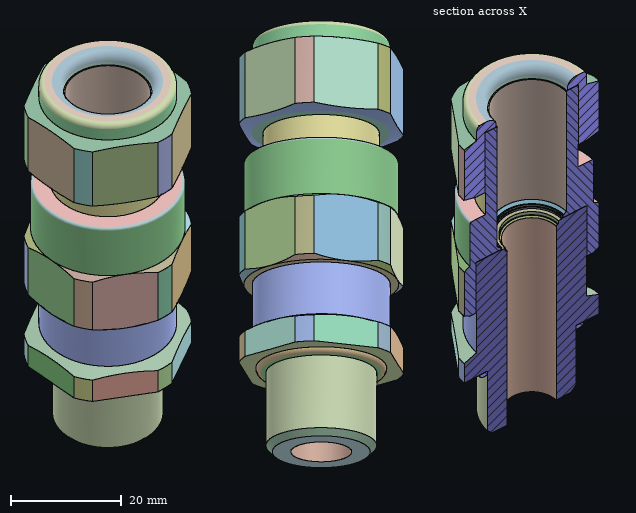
import cadquery as cq
import math


ACROSS_FLATS = 28.0
FLAT_RADIUS = ACROSS_FLATS / 2
ACROSS_CORNERS = 30.5
CORNER_RADIUS = ACROSS_CORNERS / 2
SHARP_CORNER_DIAMETER = ACROSS_FLATS / math.cos(math.pi / 6)

TOTAL_HEIGHT = 78.4
RING_BOTTOM = 15.05
ENTRY_HEX_BOTTOM = 16.0
ENTRY_HEX_TOP = 22.1
MIDDLE_HEX_BOTTOM = 32.0
MIDDLE_HEX_TOP = 44.5
MIDDLE_BARREL_TOP = 55.4
CAP_HEX_BOTTOM = 60.8
CAP_HEX_TOP = 74.95
NECK_TOP = 75.7

SLEEVE_RADIUS = 12.5
NECK_RADIUS = 10.5
THREAD_RADIUS = 10.0
RING_RADIUS = 11.8

CAP_BORE_RADIUS = 8.0
NECK_BORE_RADIUS = 7.8
SEAT_RADIUS = 7.2
SEAT_STEP_RADIUS = 7.0
SEAT_THROAT_RADIUS = 6.75
SEAT_STEP_HEIGHT = 0.4
ENTRY_BORE_RADIUS = 5.5
ENTRY_COUNTERBORE_RADIUS = 5.95
ENTRY_COUNTERBORE_DEPTH = 0.8
ENTRY_CONE_RADIUS = 5.8

CAP_OUTER_FILLET = 1.0
CAP_MOUTH_FILLET = 2.0
BARREL_FILLET = 0.5
THREAD_CHAMFER = 1.2
CAP_HEX_BEVEL = 15.0
MIDDLE_HEX_BEVEL = 30.0
ENTRY_HEX_BEVEL = 22.5


def cylinder(radius, bottom, top):
    return cq.Workplane("XY").workplane(offset=bottom).circle(radius).extrude(top - bottom)


def revolve_profile(points):
    """Revolve a closed outline of (radius, height) points about the Z axis."""
    return cq.Workplane("XZ").polyline(points).close().revolve(360, (0, 0), (0, 1))


def hexagon(bottom, top, bevel_start, top_angle=0.0, bottom_angle=0.0):
    """Hexagon with flats on +-X and rounded corners, its ends bevelled outside bevel_start."""
    prism = (
        cq.Workplane("XY").workplane(offset=bottom)
        .polygon(6, SHARP_CORNER_DIAMETER).extrude(top - bottom)
        .rotate((0, 0, 0), (0, 0, 1), 30)
    )
    bevel_width = CORNER_RADIUS - bevel_start
    top_drop = bevel_width * math.tan(math.radians(top_angle))
    bottom_rise = bevel_width * math.tan(math.radians(bottom_angle))
    envelope = revolve_profile([
        (0, bottom),
        (bevel_start, bottom),
        (CORNER_RADIUS, bottom + bottom_rise),
        (CORNER_RADIUS, top - top_drop),
        (bevel_start, top),
        (0, top),
    ])
    return prism.intersect(envelope)


def make_cap_nut():
    """Hexagon nut with a rounded mouth and a socket that holds the neck of the middle body."""
    lip = cylinder(SLEEVE_RADIUS, CAP_HEX_BOTTOM, TOTAL_HEIGHT)
    lip = lip.faces(">Z").edges().fillet(CAP_OUTER_FILLET)
    hex_part = hexagon(CAP_HEX_BOTTOM, CAP_HEX_TOP, SLEEVE_RADIUS, CAP_HEX_BEVEL, CAP_HEX_BEVEL)
    nut = lip.union(hex_part).cut(cylinder(CAP_BORE_RADIUS, CAP_HEX_BOTTOM, TOTAL_HEIGHT))
    mouth_edge = cq.selectors.RadiusNthSelector(0)
    nut = nut.faces(">Z").edges(mouth_edge).fillet(CAP_MOUTH_FILLET)
    return nut.cut(cylinder(NECK_RADIUS, CAP_HEX_BOTTOM, NECK_TOP))


def make_middle_body():
    """Barrel over a hexagon, with a neck above and a socket for the entry sleeve below."""
    barrel = cylinder(FLAT_RADIUS, MIDDLE_HEX_BOTTOM, MIDDLE_BARREL_TOP)
    barrel = barrel.faces(">Z").edges().fillet(BARREL_FILLET)
    hex_part = hexagon(MIDDLE_HEX_BOTTOM, MIDDLE_HEX_TOP, FLAT_RADIUS, MIDDLE_HEX_BEVEL, MIDDLE_HEX_BEVEL)
    neck = cylinder(NECK_RADIUS, MIDDLE_HEX_TOP, NECK_TOP)
    throat_top = MIDDLE_HEX_TOP + SEAT_STEP_HEIGHT
    seat_bottom = throat_top + SEAT_STEP_HEIGHT
    seat_top = seat_bottom + (NECK_BORE_RADIUS - SEAT_RADIUS)
    bore = revolve_profile([
        (0, MIDDLE_HEX_TOP),
        (SEAT_THROAT_RADIUS, MIDDLE_HEX_TOP),
        (SEAT_THROAT_RADIUS, throat_top),
        (SEAT_STEP_RADIUS, throat_top),
        (SEAT_STEP_RADIUS, seat_bottom),
        (SEAT_RADIUS, seat_bottom),
        (NECK_BORE_RADIUS, seat_top),
        (NECK_BORE_RADIUS, NECK_TOP),
        (0, NECK_TOP),
    ])
    socket = cylinder(SLEEVE_RADIUS, MIDDLE_HEX_BOTTOM, MIDDLE_HEX_TOP)
    return barrel.union(hex_part).union(neck).cut(bore).cut(socket)


def make_entry_body():
    """Threaded spigot, left plain, below a hexagon and a sleeve, with a stepped through bore."""
    thread = cylinder(THREAD_RADIUS, 0, ENTRY_HEX_BOTTOM).faces("<Z").edges().chamfer(THREAD_CHAMFER)
    hex_part = hexagon(ENTRY_HEX_BOTTOM, ENTRY_HEX_TOP, SLEEVE_RADIUS, top_angle=ENTRY_HEX_BEVEL)
    sleeve = cylinder(SLEEVE_RADIUS, ENTRY_HEX_TOP, MIDDLE_HEX_TOP)
    counterbore_floor = MIDDLE_HEX_TOP - ENTRY_COUNTERBORE_DEPTH
    cone_bottom = counterbore_floor - (ENTRY_CONE_RADIUS - ENTRY_BORE_RADIUS)
    bore = revolve_profile([
        (0, 0),
        (ENTRY_BORE_RADIUS, 0),
        (ENTRY_BORE_RADIUS, cone_bottom),
        (ENTRY_CONE_RADIUS, counterbore_floor),
        (ENTRY_COUNTERBORE_RADIUS, counterbore_floor),
        (ENTRY_COUNTERBORE_RADIUS, MIDDLE_HEX_TOP),
        (0, MIDDLE_HEX_TOP),
    ])
    return thread.union(hex_part).union(sleeve).cut(bore)


def make_sealing_ring():
    """Ring under the entry hexagon, its lower outer edge rounded over its full height."""
    height = ENTRY_HEX_BOTTOM - RING_BOTTOM
    profile = (
        cq.Workplane("XZ")
        .moveTo(THREAD_RADIUS, ENTRY_HEX_BOTTOM)
        .lineTo(THREAD_RADIUS, RING_BOTTOM)
        .lineTo(RING_RADIUS - height, RING_BOTTOM)
        .radiusArc((RING_RADIUS, ENTRY_HEX_BOTTOM), -height)
        .close()
    )
    return profile.revolve(360, (0, 0), (0, 1))


cap_nut = make_cap_nut()
middle_body = make_middle_body()
entry_body = make_entry_body()
sealing_ring = make_sealing_ring()

result = cq.Compound.makeCompound([
    cap_nut.val(),
    middle_body.val(),
    entry_body.val(),
    sealing_ring.val(),
])